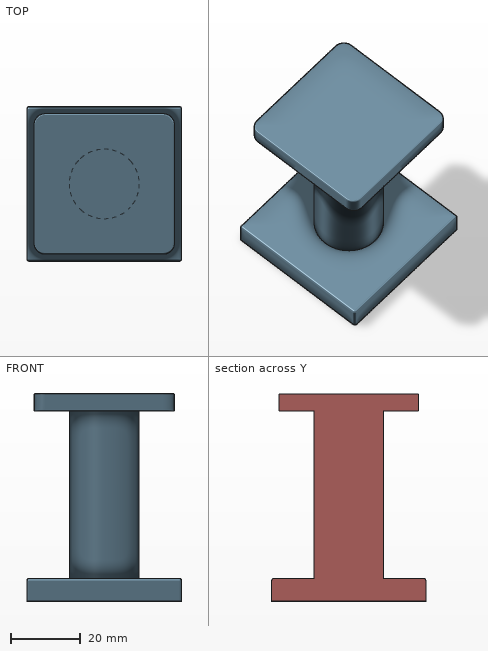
import cadquery as cq

total_height = 59.7
base_width = 44.45
base_thickness = 6.6
base_edge_radius = 0.8
top_width = 40.35
top_thickness = 5.1
top_corner_radius = 3.2
top_edge_radius = 0.5
post_diameter = 20.05

top_plate_bottom = total_height - top_thickness
post_height = top_plate_bottom - base_thickness


def make_base():
    """Square foot with rounded upright edges and a rounded upper rim."""
    block = cq.Workplane("XY").rect(base_width, base_width).extrude(base_thickness)
    return block.edges("|Z or >Z").fillet(base_edge_radius)


def make_post():
    """Round column joining the foot to the top plate."""
    base_top = cq.Workplane("XY").workplane(offset=base_thickness)
    return base_top.circle(post_diameter / 2).extrude(post_height)


def make_top_plate():
    """Square plate with rounded corners and softened upper and lower rims."""
    underside = cq.Workplane("XY").workplane(offset=top_plate_bottom)
    plate = underside.rect(top_width, top_width).extrude(top_thickness)
    plate = plate.edges("|Z").fillet(top_corner_radius)
    return plate.faces("<Z or >Z").edges().fillet(top_edge_radius)


result = make_base().union(make_post()).union(make_top_plate())